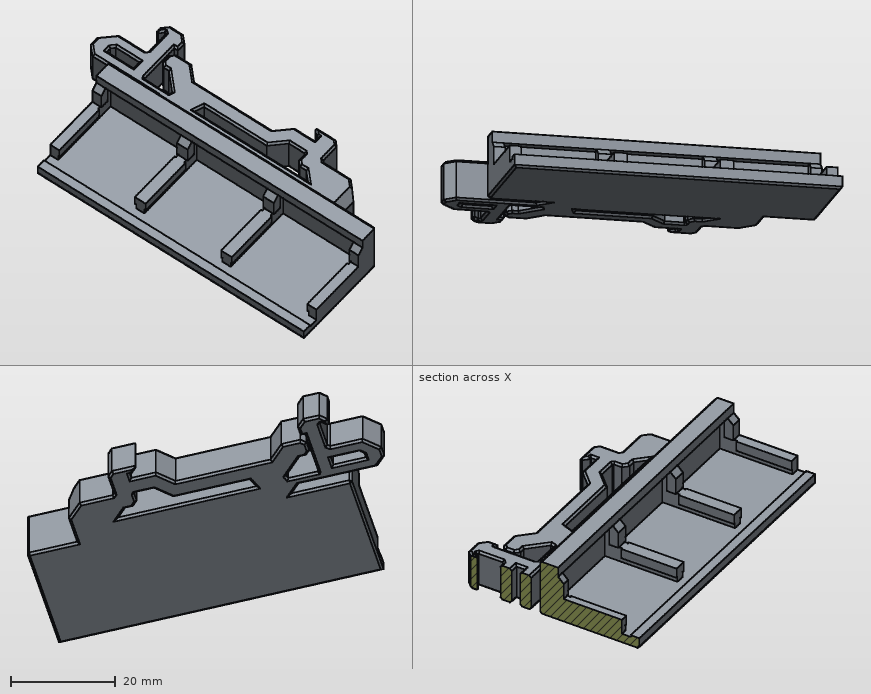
import cadquery as cq


EDGE_CHAMFER = 0.45

CELL_COUNT = 3
DIVIDER_WIDTH = 2.6
END_WALL_WIDTH = 2.2
CELL_WIDTH = 18.23
CELL_PITCH = CELL_WIDTH + DIVIDER_WIDTH
TRAY_LENGTH = 2 * END_WALL_WIDTH + CELL_COUNT * CELL_PITCH - DIVIDER_WIDTH
TRAY_DEPTH = 22.3
TRAY_HEIGHT = 12.2

FLOOR_HEIGHT = 2.1
LIP_HEIGHT = 2.5
LIP_DEPTH = 1.95
RIB_HEIGHT = 5.35
RIB_FRONT_Y = -18.4

BACK_WALL_Y = -2.15
BEAM_FRONT_Y = -4.1
BEAM_BOTTOM = 10.05
GUSSET_SLOPE = 1.2
GUSSET_FRONT_Y = -5.35

PAD_THICKNESS = 0.3
FLOOR_RELIEF = 1.1
BACK_RELIEF = 1.2
RIB_PAD_BACK_Y = -6.0
RIB_PAD_BOTTOM = FLOOR_HEIGHT + FLOOR_RELIEF
GUSSET_PAD_BACK_Y = BACK_WALL_Y - BACK_RELIEF

CLIP_HEIGHT = 8.0
CLIP_ROOT_Y = -1.5
CLIP_END_X = 54.35
CLIP_END_SLOPE = 1.9
RAIL_FACE_Y = 8.88
ARM_FACE_Y = 11.9
HOOK_UNDERSIDE_Y = 13.0
FIXED_HOOK_BACK_Y = 14.5
CLIP_MAX_Y = 16.55
CLIP_MIN_X = -7.6
LEVER_FRONT_Y = 1.95
SLIT_FRONT_Y = 3.68
STEM_LEFT_X = 2.15
STEM_RIGHT_X = 5.5
LEVER_HOOK_RIGHT_X = 6.39
LEVER_NECK_X = 9.96
ARM_TIP_X = 5.82
ARM_UNDERSIDE_Y = 8.12
FIXED_HOOK_INNER_X = 40.25
FIXED_HOOK_POINT_X = 39.84
FIXED_HOOK_RIGHT_X = 44.4

LEVER_WINDOW_LEFT_X = -4.1
LEVER_WINDOW_RIGHT_X = 2.32
LEVER_WINDOW_FRONT_Y = 4.44
LEVER_WINDOW_BACK_Y = 6.28
SPRING_WINDOW_FRONT_Y = 3.46
SPRING_WINDOW_BACK_Y = 8.43
SPRING_WINDOW_STEP_Y = 5.36
SPRING_WINDOW_STEP_X = 40.75

LEVER_HOOK_TIP_X = 0.45
LEVER_HOOK_TIP_Y = 13.97
FIXED_HOOK_TIP_X = 38.76
TIP_CUT_DEPTH = 1.5

LEVER_OUTLINE = [
    (LEVER_NECK_X + LEVER_FRONT_Y - CLIP_ROOT_Y, CLIP_ROOT_Y),
    (LEVER_NECK_X, LEVER_FRONT_Y),
    (-5.63, LEVER_FRONT_Y),
    (CLIP_MIN_X, 3.9),
    (CLIP_MIN_X, 6.0),
    (-4.7, RAIL_FACE_Y),
    (1.68, RAIL_FACE_Y),
    (STEM_LEFT_X, 9.3),
]
LEVER_HOOK_OUTLINE = [
    (STEM_LEFT_X, 14.6),
    (1.85, 14.85),
    (1.75, 14.85),
    (0.05, 13.15),
    (-0.83, 14.03),
    (1.69, CLIP_MAX_Y),
    (4.87, CLIP_MAX_Y),
    (LEVER_HOOK_RIGHT_X, 15.03),
    (LEVER_HOOK_RIGHT_X, HOOK_UNDERSIDE_Y),
    (STEM_RIGHT_X, HOOK_UNDERSIDE_Y),
]
SLIT_OUTLINE = [
    (STEM_RIGHT_X, 3.9),
    (5.63, SLIT_FRONT_Y),
    (11.47, SLIT_FRONT_Y),
    (11.72, 4.4),
    (8.0, ARM_UNDERSIDE_Y),
]
ARM_OUTLINE = [
    (6.75, ARM_UNDERSIDE_Y),
    (ARM_TIP_X, 9.05),
    (ARM_TIP_X, 10.97),
    (6.75, ARM_FACE_Y),
    (10.5, ARM_FACE_Y),
    (13.52, RAIL_FACE_Y),
    (32.35, RAIL_FACE_Y),
    (35.37, ARM_FACE_Y),
]
FIXED_HOOK_OUTLINE = [
    (FIXED_HOOK_INNER_X, ARM_FACE_Y),
    (FIXED_HOOK_INNER_X, HOOK_UNDERSIDE_Y),
    (FIXED_HOOK_POINT_X, HOOK_UNDERSIDE_Y),
    (FIXED_HOOK_POINT_X - FIXED_HOOK_BACK_Y + HOOK_UNDERSIDE_Y, FIXED_HOOK_BACK_Y),
    (43.35, FIXED_HOOK_BACK_Y),
    (FIXED_HOOK_RIGHT_X, 13.45),
    (FIXED_HOOK_RIGHT_X, 9.3),
    (44.82, RAIL_FACE_Y),
]
CLIP_END_OUTLINE = [
    (51.35, RAIL_FACE_Y),
    (CLIP_END_X, 5.88),
    (CLIP_END_X, CLIP_ROOT_Y),
]
CLIP_OUTLINE = (
    LEVER_OUTLINE + LEVER_HOOK_OUTLINE + SLIT_OUTLINE + ARM_OUTLINE + FIXED_HOOK_OUTLINE + CLIP_END_OUTLINE
)
LEVER_WINDOW = [
    (LEVER_WINDOW_LEFT_X, LEVER_WINDOW_FRONT_Y),
    (LEVER_WINDOW_RIGHT_X, LEVER_WINDOW_FRONT_Y),
    (LEVER_WINDOW_RIGHT_X, LEVER_WINDOW_BACK_Y),
    (-3.35, LEVER_WINDOW_BACK_Y),
    (LEVER_WINDOW_LEFT_X, 5.53),
]
SPRING_WINDOW = [
    (17.86, SPRING_WINDOW_FRONT_Y),
    (45.25, SPRING_WINDOW_FRONT_Y),
    (43.35, SPRING_WINDOW_STEP_Y),
    (41.8, SPRING_WINDOW_STEP_Y),
    (SPRING_WINDOW_STEP_X, 6.41),
    (SPRING_WINDOW_STEP_X, 8.2),
    (40.52, SPRING_WINDOW_BACK_Y),
    (36.75, SPRING_WINDOW_BACK_Y),
    (33.75, 5.43),
    (18.62, 5.43),
]


def side_profile(points, length):
    """Prism along +X from x = 0, with its section given as (y, z) points."""
    return cq.Workplane("YZ").polyline(points).close().extrude(length)


def box(x_range, y_range, z_range):
    """Box between two corners, given as one (low, high) pair per axis."""
    size = [high - low for low, high in (x_range, y_range, z_range)]
    corner = (x_range[0], y_range[0], z_range[0])
    return cq.Workplane("XY").box(*size, centered=False).translate(corner)


def make_cell_cutter():
    """Space of one cell, x = 0 to CELL_WIDTH between the pads."""
    wide = (-PAD_THICKNESS, CELL_WIDTH + PAD_THICKNESS)
    narrow = (0, CELL_WIDTH)
    cutter = box(wide, (RIB_FRONT_Y, BACK_WALL_Y), (FLOOR_HEIGHT, BEAM_BOTTOM))
    rib_span = box(wide, (RIB_FRONT_Y, RIB_PAD_BACK_Y), (RIB_PAD_BOTTOM, RIB_HEIGHT))
    gusset_span = box(wide, (GUSSET_FRONT_Y, GUSSET_PAD_BACK_Y), (RIB_HEIGHT, BEAM_BOTTOM))
    pads = rib_span.union(gusset_span).cut(box(narrow, (-TRAY_DEPTH, 0), (0, TRAY_HEIGHT)))
    return cutter.cut(pads)


def make_tray():
    section = [
        (0, 0),
        (-TRAY_DEPTH, 0),
        (-TRAY_DEPTH, LIP_HEIGHT),
        (LIP_DEPTH - TRAY_DEPTH, LIP_HEIGHT),
        (LIP_DEPTH - TRAY_DEPTH, FLOOR_HEIGHT),
        (RIB_FRONT_Y, FLOOR_HEIGHT),
        (RIB_FRONT_Y, RIB_HEIGHT),
        (GUSSET_FRONT_Y, RIB_HEIGHT),
        (GUSSET_FRONT_Y, BEAM_BOTTOM - GUSSET_SLOPE),
        (BEAM_FRONT_Y, BEAM_BOTTOM),
        (BEAM_FRONT_Y, TRAY_HEIGHT),
        (0, TRAY_HEIGHT),
    ]
    tray = side_profile(section, TRAY_LENGTH)
    tray = tray.faces("<Z or >Y").edges().chamfer(EDGE_CHAMFER)
    cell_cutter = make_cell_cutter()
    for cell in range(CELL_COUNT):
        tray = tray.cut(cell_cutter.translate((END_WALL_WIDTH + cell * CELL_PITCH, 0, 0)))
    return tray


def tip_cutter(length):
    """Cutter that leaves a beveled end face at x = 0, for a tip lying at x > 0; its length is along +Y."""
    section = [
        (-TIP_CUT_DEPTH, 0),
        (EDGE_CHAMFER, 0),
        (0, EDGE_CHAMFER),
        (0, CLIP_HEIGHT - EDGE_CHAMFER),
        (EDGE_CHAMFER, CLIP_HEIGHT),
        (-TIP_CUT_DEPTH, CLIP_HEIGHT),
    ]
    return cq.Workplane("XZ").polyline(section).close().extrude(-length)


def trim_hook_tips(clip):
    fixed_cutter = tip_cutter(TIP_CUT_DEPTH).translate((FIXED_HOOK_TIP_X, HOOK_UNDERSIDE_Y, 0))
    side_cutter = tip_cutter(2 * TIP_CUT_DEPTH).translate((LEVER_HOOK_TIP_X, HOOK_UNDERSIDE_Y, 0))
    end_cutter = (
        tip_cutter(TIP_CUT_DEPTH)
        .rotate((0, 0, 0), (0, 0, 1), 90)
        .translate((STEM_LEFT_X - EDGE_CHAMFER, LEVER_HOOK_TIP_Y, 0))
    )
    return clip.cut(fixed_cutter).cut(side_cutter).cut(end_cutter)


def make_clip():
    clip = cq.Workplane("XY").polyline(CLIP_OUTLINE).close().extrude(CLIP_HEIGHT)
    for window in (LEVER_WINDOW, SPRING_WINDOW):
        clip = clip.cut(cq.Workplane("XY").polyline(window).close().extrude(CLIP_HEIGHT))
    clip = clip.faces("<Z or >Z").edges().chamfer(EDGE_CHAMFER)
    clip = trim_hook_tips(clip)
    end_slope = (
        cq.Workplane("XZ", origin=(0, CLIP_ROOT_Y, 0))
        .moveTo(CLIP_END_X, CLIP_HEIGHT)
        .lineTo(CLIP_END_X - CLIP_END_SLOPE, CLIP_HEIGHT)
        .lineTo(CLIP_END_X, CLIP_HEIGHT - CLIP_END_SLOPE)
        .close()
        .extrude(-CLIP_MAX_Y)
    )
    return clip.cut(end_slope)


result = make_tray().union(make_clip())